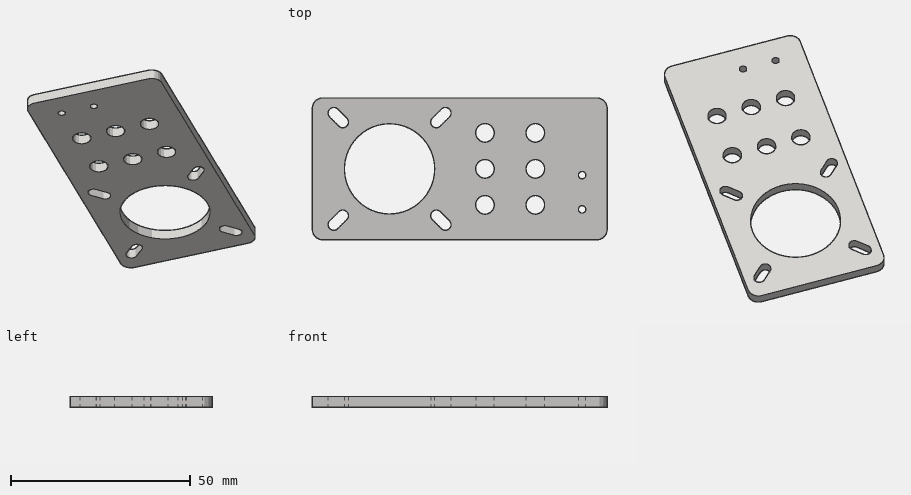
import cadquery as cq
import math

length = 82.0
width = 39.5
thickness = 3.0
corner_radius = 3.0

bore_diameter = 25.0
bore_x = -19.5
slot_width = 3.1
slot_angle = 45.0
slot_inner_offset = 13.0
slot_outer_offset = 15.5

grid_hole_diameter = 5.1
grid_columns = 2
grid_rows = 3
grid_pitch_x = 14.0
grid_pitch_y = 10.0
grid_center_x = 14.0

small_hole_diameter = 2.0
small_hole_count = 2
small_hole_x = 34.0
small_hole_pitch = 9.5
small_hole_center_y = -6.5


def make_plate():
    plate = cq.Workplane("XY").rect(length, width).extrude(thickness)
    return plate.edges("|Z").fillet(corner_radius)


def cut_bore(body):
    bore = cq.Workplane("XY").center(bore_x, 0).circle(bore_diameter / 2).extrude(thickness)
    return body.cut(bore)


def cut_diagonal_slots(body):
    slot_offset = (slot_inner_offset + slot_outer_offset) / 2
    slot_length = math.sqrt(2) * (slot_outer_offset - slot_inner_offset) + slot_width
    for side_x in (-1, 1):
        for side_y in (-1, 1):
            slot = (
                cq.Workplane("XY")
                .center(bore_x + side_x * slot_offset, side_y * slot_offset)
                .slot2D(slot_length, slot_width, slot_angle * side_x * side_y)
                .extrude(thickness)
            )
            body = body.cut(slot)
    return body


def cut_hole_grid(body):
    holes = (
        cq.Workplane("XY")
        .center(grid_center_x, 0)
        .rarray(grid_pitch_x, grid_pitch_y, grid_columns, grid_rows)
        .circle(grid_hole_diameter / 2)
        .extrude(thickness)
    )
    return body.cut(holes)


def cut_small_holes(body):
    holes = (
        cq.Workplane("XY")
        .center(small_hole_x, small_hole_center_y)
        .rarray(1, small_hole_pitch, 1, small_hole_count)
        .circle(small_hole_diameter / 2)
        .extrude(thickness)
    )
    return body.cut(holes)


result = make_plate()
result = cut_bore(result)
result = cut_diagonal_slots(result)
result = cut_hole_grid(result)
result = cut_small_holes(result)